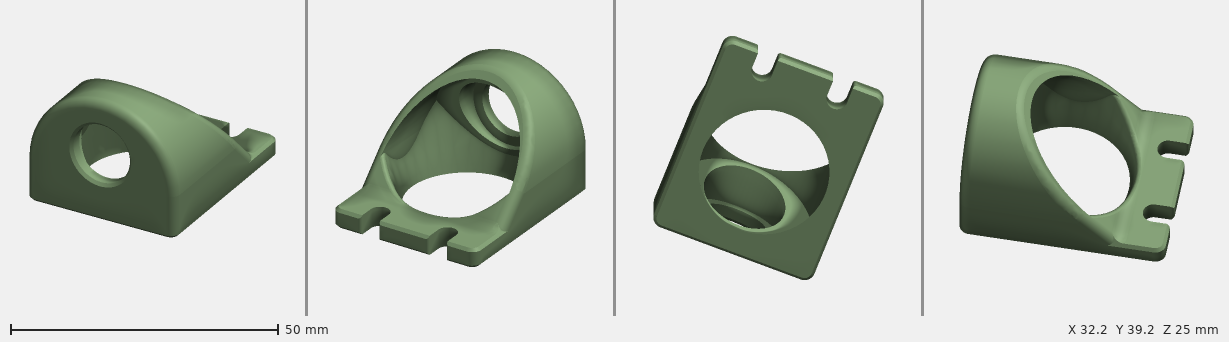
import cadquery as cq
import math

length = 39.23
width = 32.2
height = 25.0

plate_top = 4.05
slope_sum = 34.25
edge_round = 2.0
edge_chamfer = 0.6
blend_radius = 3.92

slot_width = 4.0
slot_offset = 7.55
slot_depth = 5.57
slot_mouth_round = 0.6

bore_diameter = 12.2
counterbore_diameter = 16.2
bore_height = 13.9
bore_depth = 2.75

cavity_wall = 1.85
cavity_foot = 1.95
cavity_head = 11.57
cone_radius = 12.25
cone_center = 17.35
cone_slope = 0.36
rim_round = 0.8

arch_radius = width / 2
arch_center = height - arch_radius
slope_end = slope_sum - plate_top
tolerance = 0.005


def arch_block(radius, start, end):
    """Solid with straight sides and a round top, running along Y."""
    return (
        cq.Workplane("XZ", origin=(0, start, 0))
        .moveTo(-radius, 0)
        .lineTo(-radius, arch_center)
        .threePointArc((0, arch_center + radius), (radius, arch_center))
        .lineTo(radius, 0)
        .close()
        .extrude(start - end)
    )


def side_profile():
    """Side outline with the 45 degree slope running down to the plate."""
    return (
        cq.Workplane("YZ")
        .moveTo(0, 0)
        .lineTo(length, 0)
        .lineTo(length, plate_top)
        .lineTo(slope_end, plate_top)
        .lineTo(slope_sum - height, height)
        .lineTo(0, height)
        .close()
        .extrude(arch_radius, both=True)
    )


def is_slope_border(edge):
    """True for the sides and top of the slope face, not its foot."""
    ends = (edge.startPoint(), edge.endPoint())
    in_plane = all(abs(p.y + p.z - slope_sum) < tolerance for p in ends)
    return in_plane and edge.Center().z > plate_top + tolerance


def is_plate_border(edge):
    """True for the top edges of the plate, not the foot of the slope."""
    center = edge.Center()
    return abs(center.z - plate_top) < tolerance and center.y > slope_end + tolerance


def is_back_rim(edge):
    """True for the edges where the back of the cone meets the slope and plate."""
    def on_cone(p):
        radius = math.hypot(p.x, p.y - cone_center)
        return abs(radius - cone_radius - cone_slope * p.z) < tolerance

    start = edge.startPoint()
    end = edge.endPoint()
    at_back = min(start.y, end.y) > cone_center + cone_radius / 2
    at_top = edge.Center().y + edge.Center().z > (slope_sum + slope_end) / 2
    return at_back and at_top and all(on_cone(p) for p in (start, end, edge.positionAt(0.5)))


def pick_edges(body, rule):
    """Select the edges of the body that satisfy the rule."""
    return body.newObject([edge for edge in body.edges().vals() if rule(edge)])


def make_body():
    body = arch_block(arch_radius, 0, length).intersect(side_profile())
    body = body.edges("|Z and >Y").fillet(edge_round)
    body = body.faces("<Y").edges("not <Z").fillet(edge_round)
    body = pick_edges(body, is_slope_border).fillet(edge_round)
    body = body.faces("<Z").chamfer(edge_chamfer)
    body = pick_edges(body, is_plate_border).chamfer(edge_chamfer)
    slope_foot = cq.selectors.NearestToPointSelector((0, slope_end, plate_top))
    return body.edges(slope_foot).fillet(blend_radius)


def make_cavity():
    cone = (
        cq.Workplane("XY", origin=(0, cone_center, 0))
        .circle(cone_radius)
        .workplane(offset=height)
        .circle(cone_radius + cone_slope * height)
        .loft()
    )
    behind_front_wall = (
        cq.Workplane("YZ")
        .moveTo(cavity_foot, 0)
        .lineTo(length, 0)
        .lineTo(length, height)
        .lineTo(cavity_head, height)
        .close()
        .extrude(arch_radius, both=True)
    )
    tunnel = arch_block(arch_radius - cavity_wall, 0, length)
    return tunnel.intersect(cone).intersect(behind_front_wall)


def make_slot(x):
    """Round-ended slot open at the back, with a rounded mouth."""
    half = slot_width / 2
    flare = half + slot_mouth_round
    mouth = length - slot_mouth_round
    floor = length - slot_depth
    return (
        cq.Workplane("XY", origin=(x, 0, 0))
        .moveTo(-flare, length)
        .radiusArc((-half, mouth), slot_mouth_round)
        .lineTo(-half, floor + half)
        .threePointArc((0, floor), (half, floor + half))
        .lineTo(half, mouth)
        .radiusArc((flare, length), slot_mouth_round)
        .close()
        .extrude(plate_top)
    )


def make_bore():
    """Chamfered front hole that steps up to a counterbore opening into the cavity."""
    radius = bore_diameter / 2
    counterbore_radius = counterbore_diameter / 2
    return (
        cq.Workplane("XY", origin=(0, 0, bore_height))
        .moveTo(0, 0)
        .lineTo(radius + edge_chamfer, 0)
        .lineTo(radius, edge_chamfer)
        .lineTo(radius, bore_depth)
        .lineTo(counterbore_radius, bore_depth)
        .lineTo(counterbore_radius, cavity_head)
        .lineTo(0, cavity_head)
        .close()
        .revolve(360, (0, 0, 0), (0, 1, 0))
    )


result = make_body().cut(make_cavity())
result = pick_edges(result, is_back_rim).fillet(rim_round)
result = result.cut(make_bore())
for side in (-1, 1):
    result = result.cut(make_slot(side * slot_offset))